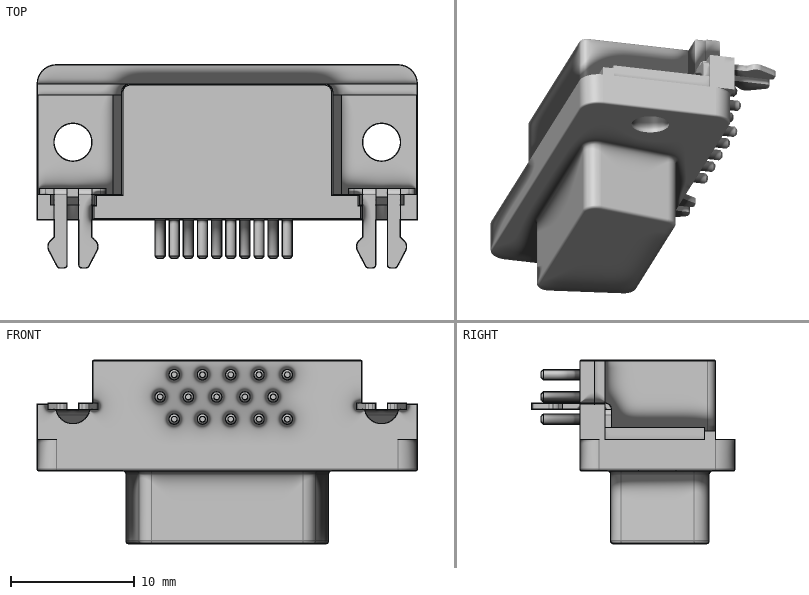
import cadquery as cq
import math


flange_width = 30.8
flange_depth = 12.56
flange_thickness = 2.57
flange_corner_radius = 1.56
flange_edge_fillet = 0.17

ear_top = 3.23
ear_pad_top = 3.53
ear_back = flange_depth - flange_corner_radius
ear_pad_back = 10.1
ear_pad_inner_x = 9.27
ear_pad_inset = 0.08
mount_hole_spacing = 25.0
mount_hole_diameter = 3.05
mount_x_positions = (-mount_hole_spacing / 2, mount_hole_spacing / 2)

housing_width = 17.1
housing_top = 9.0
housing_corner_radius = 0.65
edge_chamfer = 0.1

wall_width = 21.8
wall_depth = 2.05
wall_ear_top = 5.42

shell_length = 5.9
shell_front_y = 2.48
shell_depth = 8.0
shell_front_width = 14.0
shell_side_angle = 10
shell_corner_radius = 1.04
shell_edge_fillet = 0.25
shell_root_fillet = 0.25

pin_diameter = 0.84
pin_length = 3.15
pin_chamfer_length = 0.2
pin_chamfer_width = 0.19
pin_pitch = 2.29
pins_per_row = 5
pin_row_pitch = 1.8
pin_middle_row_z = 6.0
pin_outer_row_x = 0.285

clip_thickness = 0.5
clip_top = 5.5
clip_plate_width = 5.38
clip_corner_radius = 0.45
clip_bend_radius = 0.45
clip_gap = 0.94
clip_gap_back = 1.85
prong_outer_x = 1.53
prong_barb_x = 2.03
prong_barb_start = 1.4
prong_barb_end = 2.36
prong_length = 3.91
prong_tip_outer_x = 1.22
barb_radius = 0.6
tip_radius = 0.25

recess_width = 3.6
recess_front = 1.2
slot_radius = 1.4
slot_center_z = 5.23


def box(x_range, y_range, z_range):
    """Axis-aligned block between the given limits."""
    size = [high - low for low, high in (x_range, y_range, z_range)]
    corner = (x_range[0], y_range[0], z_range[0])
    return cq.Workplane("XY").box(*size, centered=False).translate(corner)


def centered_box(width, y_range, z_range):
    return box((-width / 2, width / 2), y_range, z_range)


def make_flange():
    flange = centered_box(flange_width, (0, flange_depth), (0, flange_thickness))
    flange = flange.edges("|Z").fillet(flange_corner_radius)
    return flange.faces("<Z").edges().fillet(flange_edge_fillet)


def make_ears():
    pad_outer_x = flange_width / 2 - ear_pad_inset
    base_z = flange_thickness
    ears = centered_box(flange_width, (ear_pad_back, ear_back), (base_z, ear_top))
    for pad_x in ((-pad_outer_x, -ear_pad_inner_x), (ear_pad_inner_x, pad_outer_x)):
        ears = ears.union(box(pad_x, (wall_depth, ear_pad_back), (base_z, ear_pad_top)))
    return ears


def make_housing():
    body = centered_box(housing_width, (0, ear_back), (flange_thickness, housing_top))
    body = body.edges("|Z and >Y").fillet(housing_corner_radius)
    wall = centered_box(wall_width, (0, wall_depth), (flange_thickness, housing_top))
    housing = body.union(wall)
    for x in mount_x_positions:
        housing = housing.cut(make_clip_recess().translate((x, 0, 0)))
    return housing.faces(">Z").edges().chamfer(edge_chamfer)


def make_wall_ears():
    """Low end sections of the wall, from the housing wall out to the flange ends."""
    wall_ears = centered_box(flange_width, (0, wall_depth), (flange_thickness, wall_ear_top))
    for x in mount_x_positions:
        wall_ears = wall_ears.cut(make_clip_recess().translate((x, 0, 0)))
    return wall_ears


def make_shell():
    side_run = shell_depth * math.tan(math.radians(shell_side_angle))
    front_x = shell_front_width / 2
    back_x = front_x + side_run
    back_y = shell_front_y + shell_depth
    outline = [(-front_x, shell_front_y), (front_x, shell_front_y), (back_x, back_y), (-back_x, back_y)]
    shell = cq.Workplane("XY").polyline(outline).close().extrude(-shell_length)
    shell = shell.edges("|Z").fillet(shell_corner_radius)
    return shell.faces("<Z").edges().fillet(shell_edge_fillet)


def round_shell_root(body):
    """Blend the shell walls into the underside of the flange."""
    margin = 0.1
    root_zone = cq.selectors.BoxSelector(
        (-flange_width / 2, shell_front_y - margin, -margin),
        (flange_width / 2, shell_front_y + shell_depth + margin, margin),
    )
    return body.edges(root_zone).fillet(shell_root_fillet)


def make_pin(x, z):
    radius = pin_diameter / 2
    tip_flat_radius = radius - pin_chamfer_width
    profile = [
        (0, 0),
        (0, radius),
        (pin_chamfer_length - pin_length, radius),
        (-pin_length, tip_flat_radius),
        (-pin_length, 0),
    ]
    pin = cq.Workplane("YZ").polyline(profile).close().revolve(360, (0, 0, 0), (1, 0, 0))
    return pin.translate((x, 0, z))


def pin_positions():
    positions = []
    for row in (-1, 0, 1):
        row_x = pin_outer_row_x if row else pin_outer_row_x - pin_pitch / 2
        for index in range(pins_per_row):
            x = row_x + (index - (pins_per_row - 1) / 2) * pin_pitch
            positions.append((x, pin_middle_row_z + row * pin_row_pitch))
    return positions


def make_prong():
    """Right-hand prong of a clip, with its barb, lying flat in XY."""
    gap_x = clip_gap / 2
    outline = [
        (gap_x, wall_depth),
        (gap_x, -prong_length),
        (prong_tip_outer_x, -prong_length),
        (prong_barb_x, -prong_barb_end),
        (prong_barb_x, -prong_barb_start - (prong_barb_x - prong_outer_x)),
        (prong_outer_x, -prong_barb_start),
        (prong_outer_x, wall_depth),
    ]
    prong = cq.Workplane("XY").polyline(outline).close().extrude(clip_thickness)
    barb_edges = cq.selectors.BoxSelector(
        (prong_barb_x - barb_radius / 2, -prong_length, 0),
        (prong_barb_x + barb_radius / 2, 0, clip_thickness),
    )
    prong = prong.edges("|Z").edges(barb_edges).fillet(barb_radius)
    prong = prong.edges("|Z and <Y").fillet(tip_radius)
    return prong.translate((0, 0, clip_top - clip_thickness))


def make_clip():
    """Upright plate with two prongs bent forward out of its top edge."""
    plate_top = clip_top - clip_thickness
    plate_y = (wall_depth, wall_depth + clip_thickness)
    plate = centered_box(clip_plate_width, plate_y, (ear_pad_top, plate_top))
    plate = plate.edges("|Y and >Z").fillet(clip_corner_radius)

    prong_width = prong_outer_x - clip_gap / 2
    bend = (
        cq.Workplane("YZ")
        .moveTo(wall_depth, plate_top)
        .lineTo(wall_depth + clip_thickness, plate_top)
        .radiusArc((wall_depth, clip_top), -clip_thickness)
        .close()
        .extrude(prong_width)
        .translate((clip_gap / 2, 0, 0))
    )
    prong = make_prong().union(bend)

    web = (
        cq.Workplane("YZ")
        .moveTo(wall_depth, plate_top)
        .lineTo(wall_depth, plate_top - clip_bend_radius)
        .radiusArc((wall_depth - clip_bend_radius, plate_top), -clip_bend_radius)
        .close()
        .extrude(prong_outer_x, both=True)
    )
    web = web.cut(centered_box(clip_gap, (0, clip_gap_back), (0, clip_top)))
    return plate.union(prong).union(prong.mirror("YZ")).union(web)


def make_clip_recess():
    """Pocket around the clip prongs and the round-bottomed slot opening it to the pin face."""
    pocket = centered_box(recess_width, (recess_front, wall_depth), (ear_pad_top, housing_top))
    slot = cq.Workplane("XZ").center(0, slot_center_z).circle(slot_radius).extrude(-wall_depth)
    slot_top = centered_box(2 * slot_radius, (0, wall_depth), (slot_center_z, housing_top))
    return pocket.union(slot).union(slot_top)


def make_mount_hole():
    hole = cq.Workplane("XY").circle(mount_hole_diameter / 2).extrude(ear_pad_top)
    return hole.translate((0, flange_depth / 2, 0))


result = round_shell_root(make_flange().union(make_shell()))
for feature in (make_ears(), make_wall_ears(), make_housing()):
    result = result.union(feature)
for mount_x in mount_x_positions:
    result = result.cut(make_mount_hole().translate((mount_x, 0, 0)))
    result = result.union(make_clip().translate((mount_x, 0, 0)))
for pin_x, pin_z in pin_positions():
    result = result.union(make_pin(pin_x, pin_z))